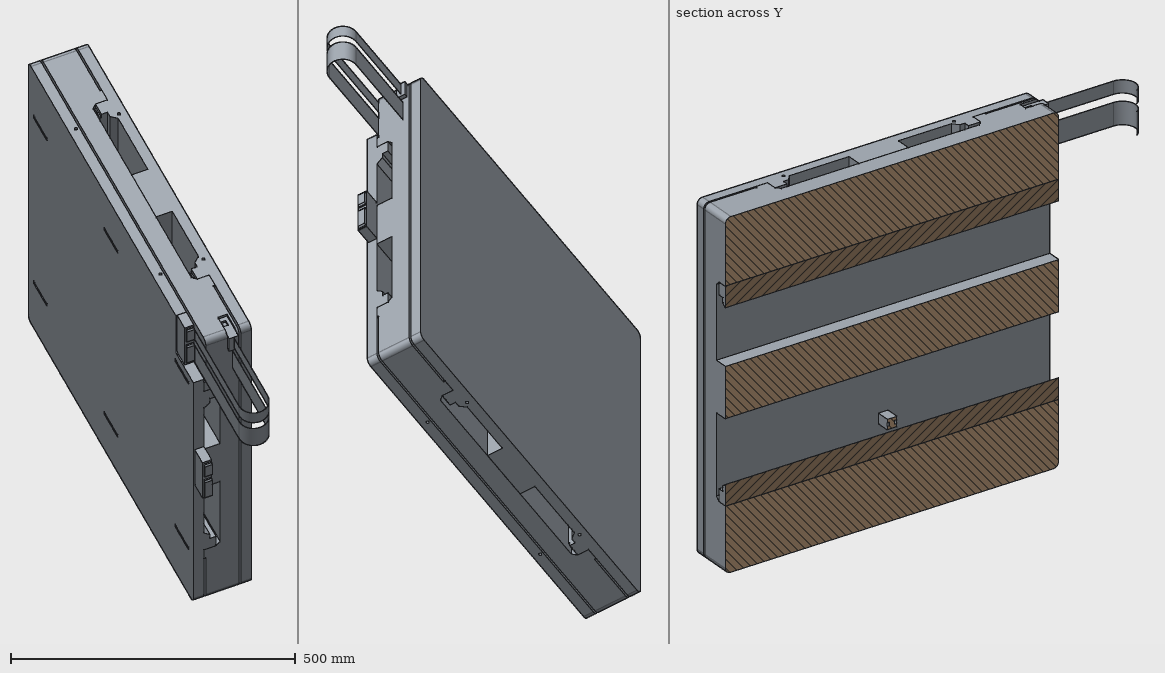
import cadquery as cq


SIDE = 708.0
HALF = SIDE / 2
THICKNESS = 112.0
CORNER_RADIUS = 11.5
PLATE = 20.0

RIM_WIDTH = 111.0
RIM_DEPTH = 24.0
CHANNEL_INSET = 136.0
CHANNEL_DEPTH = 51.5
CHANNEL_CHAMFER = 8.0
TAB_WIDTH = 26.0
TAB_DEPTH = 43.5
TAB_STEP_DEPTH = 32.0
TAB_STEP_WIDTH = 11.0
TAB_CHAMFER_WIDTH = 10.0
PAD_THICKNESS = 3.0
PAD_END_INSET = 9.0

RIB_WIDTH = 105.0
RIB_OFFSET = 7.0
STOP_WIDTH = 21.0
STOP_INSET = 184.0
STOP_LENGTH = 20.0
STOP_NOTCH = 10.0
STOP_NOTCH_DEPTH = 4.0

EDGE_HOLE = 5.15
EDGE_HOLE_DEPTH = 13.0
EDGE_HOLE_INSET = 173.0
BASE_HOLE_FROM_BACK = 15.0
TABLE_HOLE_FROM_FRONT = 14.0

SLOT_LENGTH = 58.0
SLOT_WIDTH = 6.0
SIDE_SLOT_X = 304.0
SIDE_SLOT_Z = 228.0
MIDDLE_SLOT_Z = 254.0

NOTCH_WIDTH = 75.5
NOTCH_HEIGHT = 102.0
NOTCH_RADIUS = 4.0
BOX_FACE_Y = 3.0
BOX_WIDTH = 32.0
BOX_TOP_SETBACK = 0.4
EDGE_BOX_WIDTH = 33.0
EDGE_BOX_HEIGHT = 97.0
EDGE_BOX_TOP = 67.0
PLUG_LENGTH = 5.0
PLUG_THICKNESS = 14.0
PLUG_Y = 5.0
PLUG_CHAMFER = 3.0
PLUGS = (
    (4.0, 37.0),
    (48.0, 95.0),
)

CABLE_THICKNESS = 0.4
CABLE_REACH = 533.5
CABLE_FRONT_Y = 19.5
CABLE_BACK_Y = 75.5
CABLES = (
    (8.0, 35.0),
    (51.0, 98.0),
)

SOCKET_WIDTH = 42.0
SOCKET_DEPTH = 43.5
SOCKET_BACK_Y = 83.0
SOCKET_FRONT_Y = 66.0
CONNECTOR_OVERHANG = 7.0
CONNECTOR_TOP = 5.0
CONNECTOR_BOTTOM = 40.0
RECESS_INSET = 8.0
RECESS_LENGTH = 11.5
RECESS_WIDTH = 9.0
RECESS_WALL = 3.0
RECESS_DEPTH = 4.0

BASE_JOINT = cq.Plane(origin=(0, THICKNESS, 0), xDir=(1, 0, 0), normal=(0, 0, -1))
TABLE_JOINT = cq.Plane(origin=(0, 0, 0), xDir=(0, 0, 1), normal=(-1, 0, 0))


def block(x0, x1, y0, y1, z0, z1):
    """Axis-aligned box between two corners."""
    return cq.Workplane("XY").box(x1 - x0, y1 - y0, z1 - z0, centered=False).translate((x0, y0, z0))


def rounded_slab(y0, y1):
    """Square slab with rounded corners between two Y levels."""
    slab = block(-HALF, HALF, y0, y1, -HALF, HALF)
    return slab.edges("|Y").fillet(CORNER_RADIUS)


def joint_bar(joint, u0, u1, depth0, depth1, length=SIDE):
    """Rectangular bar along a joint, centred on the length of the slide."""
    bar = cq.Workplane(joint).center((u0 + u1) / 2, (depth0 + depth1) / 2)
    return bar.rect(u1 - u0, depth1 - depth0).extrude(length / 2, both=True)


def tabs(joint):
    """The two stepped guide tabs of a joint, mirror images of each other."""
    outer = HALF - CHANNEL_INSET
    inner = outer - TAB_WIDTH
    step = inner - TAB_STEP_WIDTH
    outline = [
        (outer, PLATE),
        (outer, TAB_DEPTH),
        (inner, TAB_DEPTH),
        (inner, TAB_STEP_DEPTH),
        (step, TAB_STEP_DEPTH),
        (step - TAB_CHAMFER_WIDTH, PLATE),
    ]
    both_tabs = cq.Workplane(joint)
    for side in (-1, 1):
        both_tabs = both_tabs.polyline([(side * u, depth) for u, depth in outline]).close()
    return both_tabs.extrude(HALF, both=True)


def channel(joint):
    """Clearance in the cross slide: the wide channel and the shallow rims beside it."""
    wall = HALF - CHANNEL_INSET
    floor = wall - CHANNEL_CHAMFER
    shoulder = CHANNEL_DEPTH - CHANNEL_CHAMFER
    outline = [
        (-wall, PLATE),
        (-wall, shoulder),
        (-floor, CHANNEL_DEPTH),
        (floor, CHANNEL_DEPTH),
        (wall, shoulder),
        (wall, PLATE),
    ]
    clearance = cq.Workplane(joint).polyline(outline).close().extrude(HALF, both=True)
    for edge, inner in ((-HALF, RIM_WIDTH - HALF), (HALF - RIM_WIDTH, HALF)):
        clearance = clearance.union(joint_bar(joint, edge, inner, PLATE, RIM_DEPTH))
    return clearance


def rib(joint):
    """Central rib that fills the height of the channel."""
    return joint_bar(joint, RIB_OFFSET - RIB_WIDTH / 2, RIB_OFFSET + RIB_WIDTH / 2, PLATE, CHANNEL_DEPTH)


def stop(joint, notch_depth):
    """Short end stop beside the rib, with a blind half-round notch in both ends."""
    u0 = STOP_INSET - HALF
    u1 = u0 + STOP_WIDTH
    post = joint_bar(joint, u0, u1, PLATE, CHANNEL_DEPTH, STOP_LENGTH)
    for start in (-STOP_LENGTH / 2, STOP_LENGTH / 2 - STOP_NOTCH_DEPTH):
        notch = cq.Workplane(joint).workplane(offset=start).center((u0 + u1) / 2, notch_depth)
        post = post.cut(notch.circle(STOP_NOTCH / 2).extrude(STOP_NOTCH_DEPTH))
    return post


def edge_holes(y):
    """Blind holes down into the +Z edge and up into the -Z edge of a plate."""
    x = HALF - EDGE_HOLE_INSET
    holes = cq.Workplane("XY")
    for z0 in (-HALF, HALF - EDGE_HOLE_DEPTH):
        row = cq.Workplane("XY", origin=(0, y, z0)).pushPoints([(-x, 0), (x, 0)])
        holes = holes.add(row.circle(EDGE_HOLE / 2).extrude(EDGE_HOLE_DEPTH))
    return holes.combine()


def make_base():
    """Rear plate with its guide tabs, sliding pads, central rib and end stop."""
    base = rounded_slab(THICKNESS - PLATE, THICKNESS)
    base = base.union(tabs(BASE_JOINT)).union(rib(BASE_JOINT))
    base = base.union(stop(BASE_JOINT, CHANNEL_DEPTH))
    outer = HALF - CHANNEL_INSET - PAD_THICKNESS
    inner = HALF - CHANNEL_INSET - TAB_WIDTH
    pad_length = SIDE - 2 * PAD_END_INSET
    for u0, u1 in ((-outer, -inner), (inner, outer)):
        pad = joint_bar(BASE_JOINT, u0, u1, TAB_DEPTH, TAB_DEPTH + PAD_THICKNESS, pad_length)
        base = base.union(pad)
    return base.cut(edge_holes(THICKNESS - BASE_HOLE_FROM_BACK))


def cable(top, bottom):
    """Flat cable: a U-shaped strip from the table connector round to the cross slide."""
    radius = (CABLE_BACK_Y - CABLE_FRONT_Y) / 2
    bend_x = CABLE_REACH - radius
    front_end = HALF - NOTCH_WIDTH + BOX_WIDTH + PLUG_LENGTH
    back_end = HALF
    inner_radius = radius - CABLE_THICKNESS
    middle_y = CABLE_FRONT_Y + radius
    section = (
        cq.Workplane("XY", origin=(0, 0, HALF - bottom))
        .moveTo(front_end, CABLE_FRONT_Y)
        .lineTo(bend_x, CABLE_FRONT_Y)
        .threePointArc((CABLE_REACH, middle_y), (bend_x, CABLE_BACK_Y))
        .lineTo(back_end, CABLE_BACK_Y)
        .lineTo(back_end, CABLE_BACK_Y - CABLE_THICKNESS)
        .lineTo(bend_x, CABLE_BACK_Y - CABLE_THICKNESS)
        .threePointArc((bend_x + inner_radius, middle_y), (bend_x, CABLE_FRONT_Y + CABLE_THICKNESS))
        .lineTo(front_end, CABLE_FRONT_Y + CABLE_THICKNESS)
        .close()
    )
    return section.extrude(bottom - top)


def cable_connector():
    """Connector in the corner socket of the cross slide, with a recess in its top."""
    left = HALF - SOCKET_WIDTH
    connector = block(
        left, HALF + CONNECTOR_OVERHANG, SOCKET_FRONT_Y, SOCKET_BACK_Y,
        HALF - SOCKET_DEPTH, HALF - CONNECTOR_TOP,
    )
    under_overhang = block(
        HALF, HALF + CONNECTOR_OVERHANG, SOCKET_FRONT_Y, SOCKET_BACK_Y,
        HALF - SOCKET_DEPTH, HALF - CONNECTOR_BOTTOM,
    )
    recess_left = left + RECESS_INSET
    recess_y = SOCKET_FRONT_Y + RECESS_WALL
    recess = block(
        recess_left, recess_left + RECESS_LENGTH, recess_y, recess_y + RECESS_WIDTH,
        HALF - CONNECTOR_TOP - RECESS_DEPTH, HALF - CONNECTOR_TOP,
    )
    return connector.cut(under_overhang).cut(recess)


def make_cross_slide():
    """Middle slab with a channel on each face, plus the cable connector and both cables."""
    slide = rounded_slab(PLATE, THICKNESS - PLATE)
    slide = slide.cut(channel(BASE_JOINT)).cut(channel(TABLE_JOINT))
    slide = slide.union(rib(TABLE_JOINT)).union(stop(TABLE_JOINT, PLATE))
    socket = block(
        HALF - SOCKET_WIDTH, HALF, SOCKET_FRONT_Y, SOCKET_BACK_Y, HALF - SOCKET_DEPTH, HALF,
    )
    slide = slide.cut(socket).union(cable_connector())
    for top, bottom in CABLES:
        slide = slide.union(cable(top, bottom))
    return slide


def plugs(x, top):
    """A plug with a chamfered tip for each cable, on the +X side of a connector box."""
    pair = cq.Workplane("XY")
    for plug_top, plug_bottom in PLUGS:
        plug = block(x, x + PLUG_LENGTH, PLUG_Y, PLUG_Y + PLUG_THICKNESS, top - plug_bottom, top - plug_top)
        pair = pair.add(plug.edges("|Y and >X").chamfer(PLUG_CHAMFER))
    return pair.combine()


def make_table():
    """Front plate with its guide tabs, strap slots, corner notch and two connector boxes."""
    table = rounded_slab(0, PLATE).union(tabs(TABLE_JOINT))

    slot_places = []
    for side in (-1, 1):
        slot_places.append((0, side * MIDDLE_SLOT_Z))
        slot_places += [(x, side * SIDE_SLOT_Z) for x in (-SIDE_SLOT_X, SIDE_SLOT_X)]
    slots = cq.Workplane("XZ").pushPoints(slot_places).rect(SLOT_LENGTH, SLOT_WIDTH).extrude(-PLATE)
    table = table.cut(slots)

    notch_left = HALF - NOTCH_WIDTH
    notch_bottom = HALF - NOTCH_HEIGHT
    notch = block(notch_left, HALF, 0, PLATE, notch_bottom, HALF)
    notch = notch.edges("|Y and <X and <Z").fillet(NOTCH_RADIUS)
    box_right = notch_left + BOX_WIDTH
    box_space = block(notch_left, box_right, BOX_FACE_Y, PLATE, notch_bottom, HALF - BOX_TOP_SETBACK)
    corner_box = notch.intersect(box_space)
    table = table.cut(notch).union(corner_box).union(plugs(box_right, HALF))

    edge_box_right = HALF + EDGE_BOX_WIDTH
    edge_box = block(
        HALF, edge_box_right, BOX_FACE_Y, PLATE, EDGE_BOX_TOP - EDGE_BOX_HEIGHT, EDGE_BOX_TOP,
    )
    table = table.union(edge_box).union(plugs(edge_box_right, EDGE_BOX_TOP))
    return table.cut(edge_holes(TABLE_HOLE_FROM_FRONT))


base = make_base()
cross_slide = make_cross_slide()
table = make_table()

result = cq.Compound.makeCompound([base.val(), cross_slide.val(), table.val()])